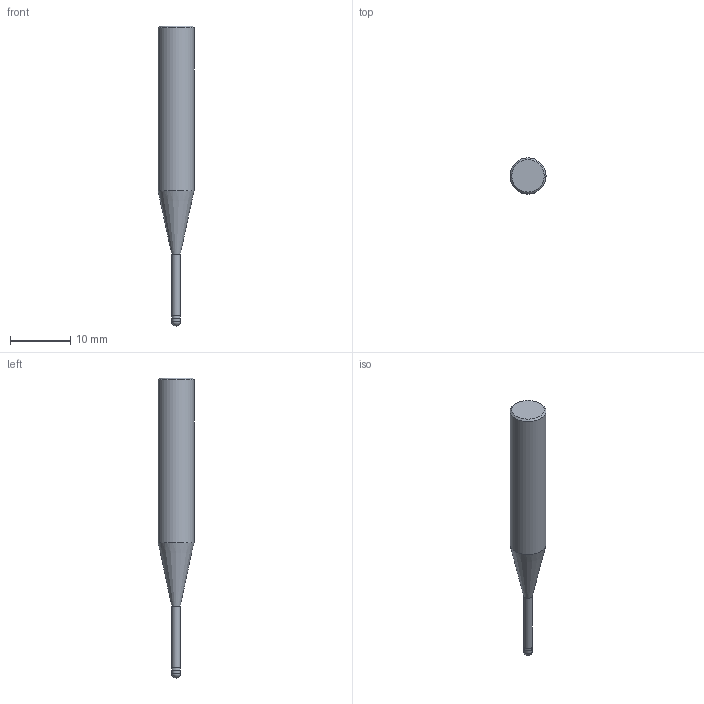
import cadquery as cq
import math


overall_length = 50.0
shank_diameter = 6.0
shank_radius = shank_diameter / 2
shank_start_z = 22.57
end_chamfer = 0.3

neck_diameter = 1.43
neck_radius = neck_diameter / 2
neck_start_z = 1.7
neck_end_z = 12.0

ball_diameter = 1.5
ball_radius = ball_diameter / 2
head_length = 1.3


def revolve_about_tool_axis(half_profile):
    """Turn a closed half profile, drawn as (radius, Z), about the tool axis."""
    return half_profile.revolve(360, (0, 0, 0), (0, 1, 0))


def make_cutting_head():
    """Short cylinder ending in a hemispherical tip."""
    arc_offset = ball_radius * math.sin(math.radians(45))
    half_profile = (
        cq.Workplane("XZ")
        .moveTo(0, 0)
        .threePointArc((arc_offset, ball_radius - arc_offset), (ball_radius, ball_radius))
        .lineTo(ball_radius, head_length)
        .lineTo(0, head_length)
        .close()
    )
    return revolve_about_tool_axis(half_profile)


def make_shank():
    """Flare, neck, cone and chamfered shank in one turned piece."""
    half_profile = (
        cq.Workplane("XZ")
        .moveTo(0, head_length)
        .lineTo(ball_radius, head_length)
        .lineTo(neck_radius, neck_start_z)
        .lineTo(neck_radius, neck_end_z)
        .lineTo(shank_radius, shank_start_z)
        .lineTo(shank_radius, overall_length - end_chamfer)
        .lineTo(shank_radius - end_chamfer, overall_length)
        .lineTo(0, overall_length)
        .close()
    )
    return revolve_about_tool_axis(half_profile)


cutting_head = make_cutting_head()
shank = make_shank()

result = cq.Compound.makeCompound([cutting_head.val(), shank.val()])